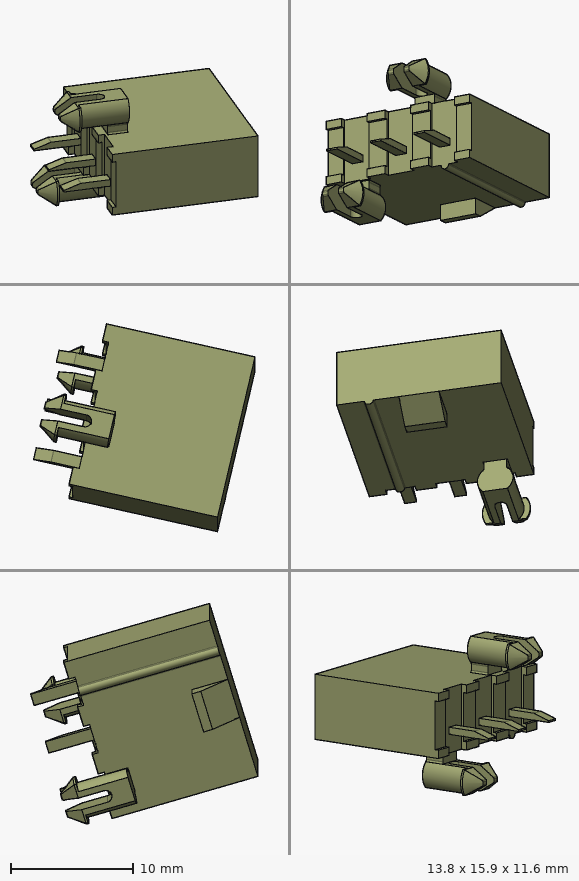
import cadquery as cq
import math


length = 15.95
housing_width = 13.8
housing_height = 5.47
housing_front = 3.48
bottom = -housing_height / 2

contact_pitch = 4.2
contact_places = [-contact_pitch, 0.0, contact_pitch]
lip_height = 0.7
recess_depth = 0.32
notch_width = 2.47
notch_depth = 0.53
notch_floor = housing_front + notch_depth

contact_width = 1.0
contact_thickness = 0.59
contact_tip_thickness = 0.15
contact_taper_length = 1.47
contact_height = 1.58
contact_bottom = bottom + contact_height

latch_width = 3.37
latch_depth = 1.35
latch_front = 12.87
latch_flat_length = 0.77
rib_radius = 0.37
rib_root_radius = 0.08

upper_clip_x = contact_pitch / 2
lower_clip_x = -contact_pitch
clip_height = 2.17
clip_gap = 0.88
clip_back = 5.97
clip_tip = 0.19
post_radius = 1.5
head_radius = 2.01
head_back = 1.74
head_rim = 0.18
tip_width = 1.98
tip_height = 0.4
tip_bulge = 0.02
tip_rounding = 0.16
slot_width = 1.0
slot_end = 4.26
neck_width = 1.88
neck_front = slot_end
neck_flare = 0.08
neck_flare_height = 0.18


def box(width, y_front, y_back, z_low, z_high, x_middle=0.0):
    """Block centred on x_middle that spans the given Y and Z ranges."""
    block = cq.Workplane("XY").box(width, y_back - y_front, z_high - z_low, centered=(True, False, False))
    return block.translate((x_middle, y_front, z_low))


def side_prism(points, width, x_middle=0.0):
    """Closed Y-Z outline extruded along X, centred on x_middle."""
    prism = cq.Workplane("YZ").polyline(points).close().extrude(width / 2, both=True)
    return prism.translate((x_middle, 0, 0))


def make_housing():
    top = -bottom
    housing = box(housing_width, housing_front, length, bottom, top)
    recess_back = housing_front + recess_depth
    housing = housing.cut(box(housing_width, housing_front, recess_back, bottom + lip_height, top - lip_height))
    for x in contact_places:
        housing = housing.cut(box(notch_width, housing_front, notch_floor, bottom, top, x))
    return housing


def make_contact(x):
    contact_top = contact_bottom + contact_thickness
    outline = [
        (notch_floor, contact_bottom),
        (0, contact_bottom),
        (0, contact_bottom + contact_tip_thickness),
        (contact_taper_length, contact_top),
        (notch_floor, contact_top),
    ]
    return side_prism(outline, contact_width, x)


def make_latch():
    latch_bottom = bottom - latch_depth
    outline = [
        (length, bottom),
        (latch_front + latch_flat_length, latch_bottom),
        (latch_front, latch_bottom),
        (latch_front, bottom),
    ]
    return side_prism(outline, latch_width)


def make_rib():
    """Half-round rib along the housing underside, with concave roots."""
    centre_distance = rib_radius + rib_root_radius
    root_x = math.sqrt(centre_distance**2 - rib_root_radius**2)
    touch_x = root_x * rib_radius / centre_distance
    touch_z = -rib_root_radius * rib_radius / centre_distance
    half_angle = math.atan2(root_x, rib_root_radius) / 2
    middle_x = root_x - rib_root_radius * math.sin(half_angle)
    middle_z = -rib_root_radius + rib_root_radius * math.cos(half_angle)
    rib = (
        cq.Workplane("XZ")
        .moveTo(-root_x, 0)
        .threePointArc((-middle_x, middle_z), (-touch_x, touch_z))
        .threePointArc((0, -rib_radius), (touch_x, touch_z))
        .threePointArc((middle_x, middle_z), (root_x, 0))
        .close()
        .extrude(-(length - notch_floor))
    )
    return rib.translate((contact_pitch, notch_floor, bottom))


def flat_sided_outline(plane, half_flat, half_width, half_height):
    """Outline with flat top and bottom and bulged ends."""
    return (
        plane.moveTo(-half_flat, half_height)
        .lineTo(half_flat, half_height)
        .threePointArc((half_width, 0), (half_flat, -half_height))
        .lineTo(-half_flat, -half_height)
        .threePointArc((-half_width, 0), (-half_flat, half_height))
        .close()
    )


def flat_round_outline(y, radius):
    """Circle at depth y with its top and bottom cut flat at the clip height."""
    half_height = clip_height / 2
    half_flat = math.sqrt(radius**2 - half_height**2)
    plane = cq.Workplane("XZ", origin=(0, y, 0))
    return flat_sided_outline(plane, half_flat, radius, half_height)


def make_split_post():
    """Clip post and arrow head, centred on X = 0 and Z = 0."""
    taper_start = head_back - head_rim
    post = flat_round_outline(clip_back, post_radius).extrude(clip_back - head_back)
    rim = flat_round_outline(head_back, head_radius).extrude(head_rim)
    taper_outline = flat_round_outline(taper_start, head_radius)
    tip_plane = taper_outline.workplane(offset=taper_start - clip_tip)
    half_tip = tip_width / 2
    tip_outline = flat_sided_outline(tip_plane, half_tip, half_tip + tip_bulge, tip_height / 2)
    taper = tip_outline.loft(ruled=True)
    taper = taper.faces("<Y").edges("|X").fillet(tip_rounding)

    slot_round = slot_end - slot_width / 2
    slot = box(slot_width, 0, slot_round, -clip_height, clip_height)
    slot_bottom = cq.Workplane("XY").center(0, slot_round).circle(slot_width / 2).extrude(clip_height, both=True)
    return post.union(rim).union(taper).cut(slot).cut(slot_bottom)


def make_neck():
    """Neck across the gap from Z = 0 up, flared where it meets its neighbours."""
    half = neck_width / 2
    wide = half + neck_flare
    flare_radius = (neck_flare**2 + neck_flare_height**2) / (2 * neck_flare)
    half_angle = math.asin(neck_flare_height / flare_radius) / 2
    middle_x = half + flare_radius * (1 - math.cos(half_angle))
    middle_z = neck_flare_height - flare_radius * math.sin(half_angle)
    return (
        cq.Workplane("XZ", origin=(0, clip_back, 0))
        .moveTo(-wide, 0)
        .lineTo(wide, 0)
        .threePointArc((middle_x, middle_z), (half, neck_flare_height))
        .lineTo(half, clip_gap - neck_flare_height)
        .threePointArc((middle_x, clip_gap - middle_z), (wide, clip_gap))
        .lineTo(-wide, clip_gap)
        .threePointArc((-middle_x, clip_gap - middle_z), (-half, clip_gap - neck_flare_height))
        .lineTo(-half, neck_flare_height)
        .threePointArc((-middle_x, middle_z), (-wide, 0))
        .close()
        .extrude(clip_back - neck_front)
    )


clip = make_neck().union(make_split_post().translate((0, 0, clip_gap + clip_height / 2)))
upper_clip = clip.translate((upper_clip_x, 0, -bottom))
lower_clip = clip.mirror("XY").translate((lower_clip_x, 0, bottom))

result = make_housing().union(make_latch()).union(make_rib()).union(upper_clip).union(lower_clip)
for contact_x in contact_places:
    result = result.union(make_contact(contact_x))